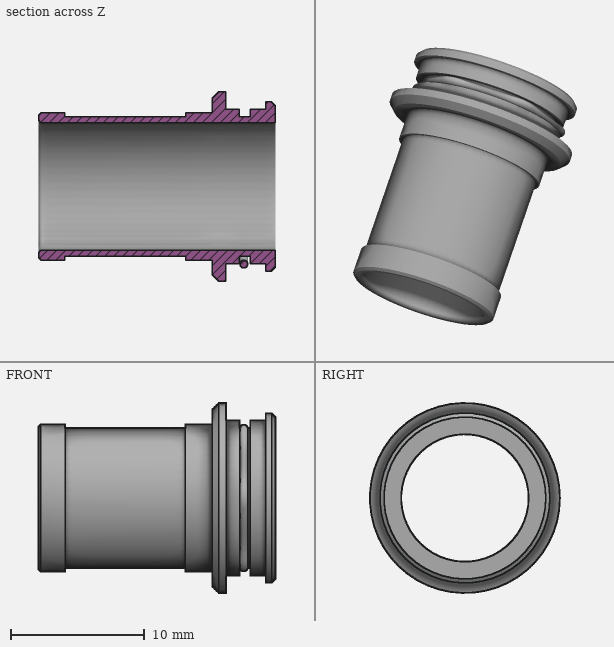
import cadquery as cq
import math

length = 17.75
bore_radius = 4.75
sleeve_radius = 5.25
collar_radius = 5.54
front_collar_end = 2.0
rear_collar_start = 11.0
front_chamfer = 0.2
bore_mouth_radius = 0.3

flange_radius = 7.12
flange_start = 13.0
flange_end = 14.04
flange_bevel = 0.51

neck_radius = 5.82
groove_start = 15.05
groove_width = 0.8
groove_radius = sleeve_radius
lip_radius = 6.35
lip_start = 17.0
lip_chamfer = 0.3

wire_radius = 0.3
wire_clearance = 0.02
ring_tip_radius = 6.1
corner_outer_radius = 1.53
corner_angles = (-120, -60, 0, 60, 120)
corner_half_turn = 30
ring_end_length = 2.4


def make_tube():
    """Revolve the stepped outer profile and the bore about X."""
    groove_end = groove_start + groove_width
    profile = (
        cq.Workplane("XY")
        .moveTo(0, bore_radius + bore_mouth_radius)
        .lineTo(0, collar_radius - front_chamfer)
        .lineTo(front_chamfer, collar_radius)
        .lineTo(front_collar_end, collar_radius)
        .lineTo(front_collar_end, sleeve_radius)
        .lineTo(rear_collar_start, sleeve_radius)
        .lineTo(rear_collar_start, collar_radius)
        .lineTo(flange_start, collar_radius)
        .lineTo(flange_start, flange_radius - flange_bevel)
        .lineTo(flange_start + flange_bevel, flange_radius)
        .lineTo(flange_end, flange_radius)
        .lineTo(flange_end, neck_radius)
        .lineTo(groove_start, neck_radius)
        .lineTo(groove_start, groove_radius)
        .lineTo(groove_end, groove_radius)
        .lineTo(groove_end, neck_radius)
        .lineTo(lip_start, neck_radius)
        .lineTo(lip_start, lip_radius)
        .lineTo(length - lip_chamfer, lip_radius)
        .lineTo(length, lip_radius - lip_chamfer)
        .lineTo(length, bore_radius)
        .lineTo(bore_mouth_radius, bore_radius)
        .radiusArc((0, bore_radius + bore_mouth_radius), bore_mouth_radius)
        .close()
    )
    return profile.revolve(360, (0, 0, 0), (1, 0, 0))


def toward(angle, distance):
    """Return the (Y, Z) offset at an angle measured from -Y toward +Z."""
    turn = math.radians(angle)
    return cq.Vector(-distance * math.cos(turn), distance * math.sin(turn))


def make_wire_ring():
    """Sweep the round wire along the open, rounded hexagon."""
    bend_radius = corner_outer_radius - wire_radius
    bend_center_distance = ring_tip_radius - corner_outer_radius
    first_normal = corner_angles[0] - corner_half_turn
    last_normal = corner_angles[-1] + corner_half_turn

    def bend_point(corner, normal):
        return toward(corner, bend_center_distance) + toward(normal, bend_radius)

    start = bend_point(corner_angles[0], first_normal) + toward(first_normal - 90, ring_end_length)
    end = bend_point(corner_angles[-1], last_normal) + toward(last_normal + 90, ring_end_length)

    ring_x = groove_start + wire_clearance + wire_radius
    path = cq.Workplane("YZ", origin=(ring_x, 0, 0)).moveTo(start.x, start.y)
    for corner in corner_angles:
        bend_start = bend_point(corner, corner - corner_half_turn)
        bend_middle = bend_point(corner, corner)
        bend_end = bend_point(corner, corner + corner_half_turn)
        path = path.lineTo(bend_start.x, bend_start.y)
        path = path.threePointArc((bend_middle.x, bend_middle.y), (bend_end.x, bend_end.y))
    path = path.lineTo(end.x, end.y)

    start_direction = toward(first_normal + 90, 1)
    section_plane = cq.Plane(
        origin=(ring_x, start.x, start.y),
        xDir=(1, 0, 0),
        normal=(0, start_direction.x, start_direction.y),
    )
    return cq.Workplane(section_plane).circle(wire_radius).sweep(path)


result = make_tube().union(make_wire_ring())